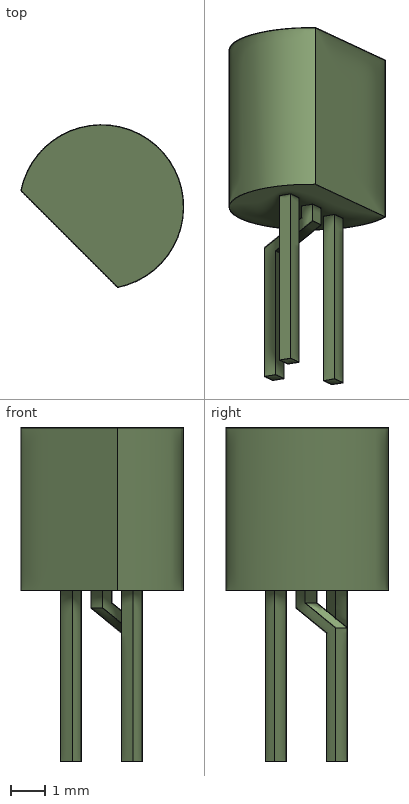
import cadquery as cq
import math

total_height = 9.8
body_height = 4.78
body_radius = 2.41
flat_distance = 1.33
flat_turn = -45.0

lead_width = 0.49
lead_depth = 0.38
lead_pitch = 1.26
middle_lead_offset = 1.26
bend_slope = 30.0
front_bend_drop = 0.51
back_bend_drop = 0.36

body_bottom = total_height - body_height


def make_body():
    half_flat = math.sqrt(body_radius**2 - flat_distance**2)
    return (
        cq.Workplane("XY")
        .workplane(offset=body_bottom)
        .moveTo(-half_flat, -flat_distance)
        .lineTo(half_flat, -flat_distance)
        .threePointArc((0, body_radius), (-half_flat, -flat_distance))
        .close()
        .extrude(body_height)
    )


def make_straight_lead(x):
    return cq.Workplane("XY").center(x, 0).rect(lead_width, lead_depth).extrude(body_bottom)


def make_bent_lead():
    front = -lead_depth / 2
    back = lead_depth / 2
    front_bend = body_bottom - front_bend_drop
    back_bend = body_bottom - back_bend_drop
    slope_drop = middle_lead_offset * math.tan(math.radians(bend_slope))
    side_profile = [
        (front, body_bottom),
        (front, front_bend),
        (front + middle_lead_offset, front_bend - slope_drop),
        (front + middle_lead_offset, 0),
        (back + middle_lead_offset, 0),
        (back + middle_lead_offset, back_bend - slope_drop),
        (back, back_bend),
        (back, body_bottom),
    ]
    return cq.Workplane("YZ").polyline(side_profile).close().extrude(lead_width / 2, both=True)


package = make_body().union(make_bent_lead())
for side in (-1, 1):
    package = package.union(make_straight_lead(side * lead_pitch))

result = package.rotate((0, 0, 0), (0, 0, 1), flat_turn)